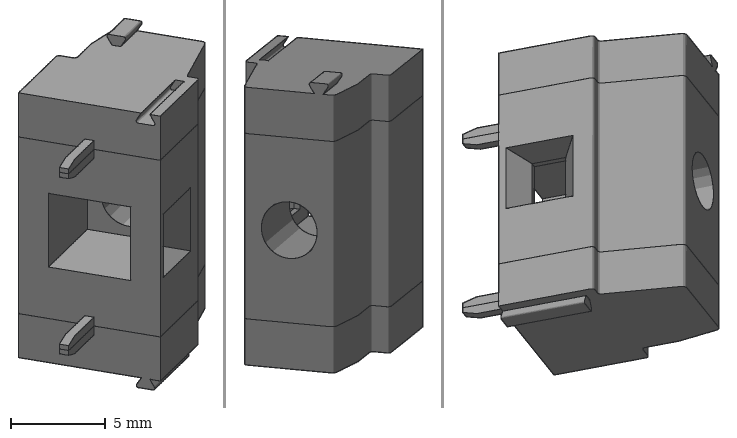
import cadquery as cq
import math


block_width = 8.1
block_depth = 10.0
shoulder_y = 5.4
neck_left_x = -2.98
back_half_width = 2.53
taper = math.tan(math.radians(10))
back_corner_radius = 0.3
shoulder_radius = 0.2

overall_height = 16.44
block_height = 15.25
pin_pitch = 10.18
middle_half_height = pin_pitch / 2
end_face_z = block_height / 2
tenon_height = (overall_height - block_height) / 2
end_height = end_face_z - middle_half_height

pin_width = 0.53
pin_height = 1.02
pin_length = 3.5
pin_straight_length = 2.7
pin_tip_bevel = 0.23

dovetail_base_width = 0.5
dovetail_tip_width = 1.25
dovetail_radius = 0.12
groove_depth = 0.61
back_tenon_x = -1.65
back_tenon_length = 2.29
front_dovetail_x = 3.2
front_dovetail_length = 4.73

pocket_width = 4.69
pocket_height = 4.24
pocket_depth = shoulder_y
bore_diameter = 3.1
window_near_y = 1.36
window_width = 1.9
window_height = 2.76
window_lip = 0.35
flare_width = 3.78
flare_height = 3.65


def block(bottom_z, height):
    """Stepped and tapered block from bottom_z upwards."""
    half_width = block_width / 2
    left_taper_y = block_depth - (-neck_left_x - back_half_width) / taper
    right_neck_x = back_half_width + (block_depth - shoulder_y) * taper
    outline = [
        (-half_width, 0),
        (half_width, 0),
        (half_width, shoulder_y),
        (right_neck_x, shoulder_y),
        (back_half_width, block_depth),
        (-back_half_width, block_depth),
        (neck_left_x, left_taper_y),
        (neck_left_x, shoulder_y),
        (-half_width, shoulder_y),
    ]
    solid = cq.Workplane("XY").workplane(offset=bottom_z).polyline(outline).close().extrude(height)
    margin = 0.08
    back_corners = cq.selectors.BoxSelector(
        (-half_width, block_depth - margin, bottom_z),
        (half_width, block_depth + margin, bottom_z + height),
    )
    shoulder_corners = cq.selectors.BoxSelector(
        (-half_width - margin, shoulder_y - margin, bottom_z),
        (half_width + margin, shoulder_y + margin, bottom_z + height),
    )
    solid = solid.edges("|Z").edges(back_corners).fillet(back_corner_radius)
    return solid.edges("|Z").edges(shoulder_corners).fillet(shoulder_radius)


def half_pin(joint_z, side):
    """Half of a bevelled pin, above (side = 1) or below (side = -1) a joint."""
    half_height = pin_height / 2
    outline = [
        (0, 0),
        (0, half_height),
        (-pin_straight_length, half_height),
        (-pin_length, half_height - pin_tip_bevel),
        (-pin_length, 0),
    ]
    placed = [(y, joint_z + side * z) for y, z in outline]
    return cq.Workplane("YZ").polyline(placed).close().extrude(pin_width / 2, both=True)


def dovetail(center_x, base_z, rise, near_y, length):
    """Dovetail bar along Y that widens from base_z to base_z + rise, with rounded wide corners."""
    half_base = dovetail_base_width / 2
    half_tip = dovetail_tip_width / 2
    outline = [
        (center_x - half_base, base_z),
        (center_x + half_base, base_z),
        (center_x + half_tip, base_z + rise),
        (center_x - half_tip, base_z + rise),
    ]
    bar = cq.Workplane("XZ", origin=(0, near_y, 0)).polyline(outline).close().extrude(-length)
    wide_face = ">Z" if rise > 0 else "<Z"
    return bar.faces(wide_face).edges("|Y").fillet(dovetail_radius)


def window():
    """Opening through the +X wall: a straight lip at the pocket, then flared outwards."""
    flare_length = (block_width - pocket_width) / 2 - window_lip
    middle_y = window_near_y + window_width / 2
    lip = (
        cq.Workplane("YZ", origin=(pocket_width / 2, middle_y, 0))
        .rect(window_width, window_height)
        .extrude(window_lip)
    )
    flare = (
        cq.Workplane("YZ", origin=(pocket_width / 2 + window_lip, middle_y, 0))
        .rect(window_width, window_height)
        .workplane(offset=flare_length)
        .rect(flare_width, flare_height)
        .loft(ruled=True)
    )
    return lip.union(flare)


def make_middle_block():
    """Block between the pin centres, with the front pocket, the bore behind it and the window."""
    front_pocket = cq.Workplane("XZ").rect(pocket_width, pocket_height).extrude(-pocket_depth)
    bore = cq.Workplane("XZ").circle(bore_diameter / 2).extrude(-block_depth)
    return (
        block(-middle_half_height, pin_pitch)
        .cut(front_pocket)
        .cut(bore)
        .cut(window())
        .union(half_pin(middle_half_height, -1))
        .union(half_pin(-middle_half_height, 1))
    )


def make_upper_end_block():
    """End block with a tenon at the back and a groove at the front of its top face."""
    tenon = dovetail(
        back_tenon_x, end_face_z, tenon_height, block_depth - back_tenon_length, back_tenon_length
    )
    groove = dovetail(front_dovetail_x, end_face_z, -groove_depth, 0, front_dovetail_length)
    return (
        block(middle_half_height, end_height)
        .union(half_pin(middle_half_height, 1))
        .union(tenon)
        .cut(groove)
    )


def make_lower_end_block():
    """End block with a tenon at the front of its bottom face."""
    tenon = dovetail(front_dovetail_x, -end_face_z, -tenon_height, 0, front_dovetail_length)
    return (
        block(-end_face_z, end_height)
        .union(half_pin(-middle_half_height, -1))
        .union(tenon)
    )


middle_block = make_middle_block()
upper_end_block = make_upper_end_block()
lower_end_block = make_lower_end_block()

result = cq.Compound.makeCompound(
    [middle_block.val(), upper_end_block.val(), lower_end_block.val()]
)